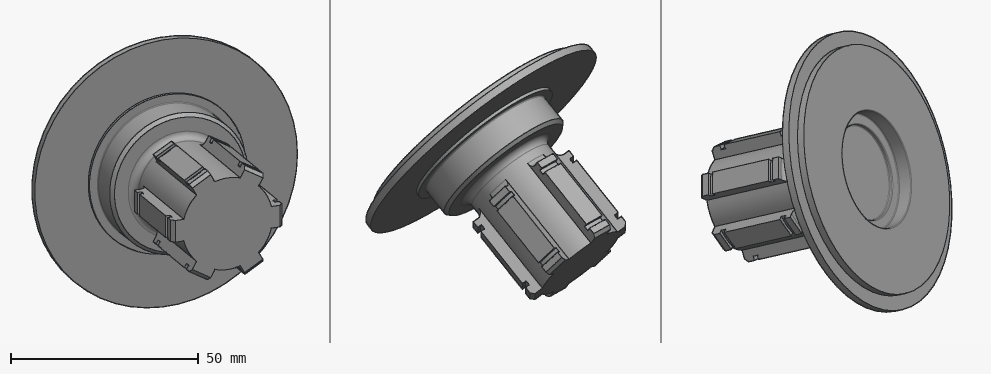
import cadquery as cq
import math

RIM_START = 2.05
RIM_END = 4.2
COLLAR_END = 5.1
HUB_END = 13.95
TOTAL_LENGTH = 46.3

FACE_DIAMETER = 67.8
RIM_DIAMETER = 75.8
COLLAR_DIAMETER = 45.0
HUB_DIAMETER = 40.0
SHAFT_DIAMETER = 26.0

HUB_CHAMFER = 1.0
SHAFT_FILLET = 2.05

RECESS_DIAMETER = 32.0
RECESS_DEPTH = 4.0
INNER_RECESS_DIAMETER = 26.0
INNER_RECESS_DEPTH = 1.0

EDGE_RADIUS = 0.2

KEY_COUNT = 6
KEY_WIDTH = 6.15
KEY_TOP = 16.1
KEY_START = 20.6
KEY_CHAMFER = 1.0
KEY_FILLET = 2.0

GROOVE_STARTS = (22.6, 42.1)
GROOVE_WIDTH = 1.4
GROOVE_DEPTH = 0.9

SHAFT_RADIUS = SHAFT_DIAMETER / 2
KEY_CORNER_RADIUS = math.hypot(KEY_TOP, KEY_WIDTH / 2)


def revolve_about_x(profile):
    """Full turn of an XY profile about the X axis."""
    return profile.close().revolve(360, (0, 0, 0), (1, 0, 0))


def turned_body():
    """Flange, collar, hub and shaft as one revolved outline."""
    hub_radius = HUB_DIAMETER / 2
    fillet_bulge = SHAFT_FILLET * (1 - math.sqrt(0.5))
    outline = (
        cq.Workplane("XY")
        .lineTo(0, FACE_DIAMETER / 2)
        .lineTo(RIM_START, FACE_DIAMETER / 2)
        .lineTo(RIM_START, RIM_DIAMETER / 2)
        .lineTo(RIM_END, RIM_DIAMETER / 2)
        .lineTo(RIM_END, COLLAR_DIAMETER / 2)
        .lineTo(COLLAR_END, COLLAR_DIAMETER / 2)
        .lineTo(COLLAR_END, hub_radius + EDGE_RADIUS)
        .radiusArc((COLLAR_END + EDGE_RADIUS, hub_radius), -EDGE_RADIUS)
        .lineTo(HUB_END - HUB_CHAMFER, hub_radius)
        .lineTo(HUB_END, hub_radius - HUB_CHAMFER)
        .lineTo(HUB_END, SHAFT_RADIUS + SHAFT_FILLET)
        .threePointArc(
            (HUB_END + fillet_bulge, SHAFT_RADIUS + fillet_bulge),
            (HUB_END + SHAFT_FILLET, SHAFT_RADIUS),
        )
        .lineTo(TOTAL_LENGTH, SHAFT_RADIUS)
        .lineTo(TOTAL_LENGTH, 0)
    )
    return revolve_about_x(outline)


def recess_cavity():
    """Two-step round cavity with rounded mouths and rounded floor corners."""
    outer_radius = RECESS_DIAMETER / 2
    inner_radius = INNER_RECESS_DIAMETER / 2
    floor = RECESS_DEPTH + INNER_RECESS_DEPTH
    outline = (
        cq.Workplane("XY")
        .lineTo(0, outer_radius + EDGE_RADIUS)
        .radiusArc((EDGE_RADIUS, outer_radius), -EDGE_RADIUS)
        .lineTo(RECESS_DEPTH - EDGE_RADIUS, outer_radius)
        .radiusArc((RECESS_DEPTH, outer_radius - EDGE_RADIUS), EDGE_RADIUS)
        .lineTo(RECESS_DEPTH, inner_radius + EDGE_RADIUS)
        .radiusArc((RECESS_DEPTH + EDGE_RADIUS, inner_radius), -EDGE_RADIUS)
        .lineTo(floor - EDGE_RADIUS, inner_radius)
        .radiusArc((floor, inner_radius - EDGE_RADIUS), EDGE_RADIUS)
        .lineTo(floor, 0)
    )
    return revolve_about_x(outline)


def key_envelope():
    """Turned blank that gives each key its run-out fillet at the hub end."""
    fillet_bulge = KEY_FILLET * (1 - math.sqrt(0.5))
    outline = (
        cq.Workplane("XY")
        .moveTo(KEY_START - KEY_FILLET, 0)
        .lineTo(KEY_START - KEY_FILLET, SHAFT_RADIUS)
        .threePointArc(
            (KEY_START - fillet_bulge, SHAFT_RADIUS + fillet_bulge),
            (KEY_START, SHAFT_RADIUS + KEY_FILLET),
        )
        .lineTo(KEY_START, KEY_CORNER_RADIUS)
        .lineTo(TOTAL_LENGTH, KEY_CORNER_RADIUS)
        .lineTo(TOTAL_LENGTH, 0)
    )
    return revolve_about_x(outline)


def groove_ring(start):
    """Ring removed from the keys by one turned groove."""
    return (
        cq.Workplane("YZ")
        .workplane(offset=start)
        .circle(KEY_CORNER_RADIUS)
        .circle(KEY_TOP - GROOVE_DEPTH)
        .extrude(GROOVE_WIDTH)
    )


def key():
    """Flat-topped key on the +Y side with its end chamfer and two turned grooves."""
    base = SHAFT_RADIUS / 2
    start = KEY_START - KEY_FILLET
    outline = (
        cq.Workplane("XY")
        .moveTo(start, base)
        .lineTo(start, KEY_TOP)
        .lineTo(TOTAL_LENGTH - KEY_CHAMFER, KEY_TOP)
        .lineTo(TOTAL_LENGTH, KEY_TOP - KEY_CHAMFER)
        .lineTo(TOTAL_LENGTH, base)
        .close()
    )
    body = outline.extrude(KEY_WIDTH / 2, both=True).intersect(key_envelope())
    for groove_start in GROOVE_STARTS:
        body = body.cut(groove_ring(groove_start))
    return body


result = turned_body()
single_key = key()
for index in range(KEY_COUNT):
    result = result.union(single_key.rotate((0, 0, 0), (1, 0, 0), index * 360 / KEY_COUNT))

result = result.cut(recess_cavity())